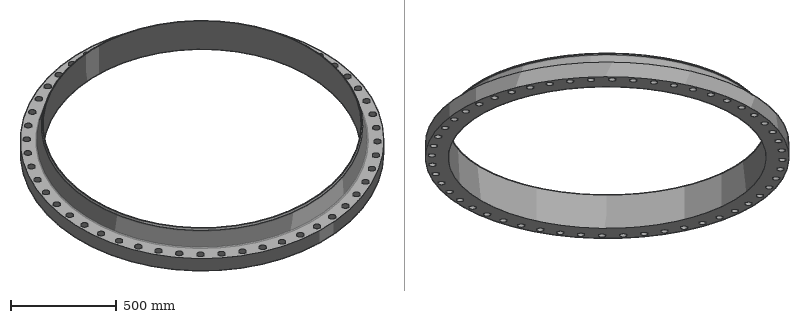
import cadquery as cq

outer_diameter = 1725.0
flange_thickness = 78.0
total_height = 178.0
bore_diameter = 1508.0

hub_base_radius = 785.0
hub_top_radius = 763.0
base_fillet_radius = 5.0

collar_height = 3.0
bevel_height = 10.0
land_width = 3.0

bolt_count = 52
bolt_circle_diameter = 1663.0
bolt_hole_diameter = 35.0

outer_radius = outer_diameter / 2
bore_radius = bore_diameter / 2
bevel_start_height = total_height - bevel_height
taper_end_height = bevel_start_height - collar_height


def make_flange_plate():
    """Flat ring that carries the bolt holes."""
    plate = cq.Workplane("XY").circle(outer_radius).circle(bore_radius)
    return plate.extrude(flange_thickness)


def make_hub():
    """Revolve the tapered hub, its straight collar and its weld bevel."""
    profile = (
        cq.Workplane("XZ")
        .moveTo(bore_radius, flange_thickness)
        .lineTo(hub_base_radius, flange_thickness)
        .lineTo(hub_top_radius, taper_end_height)
        .lineTo(hub_top_radius, bevel_start_height)
        .lineTo(bore_radius + land_width, total_height)
        .lineTo(bore_radius, total_height)
        .close()
    )
    return profile.revolve(360, (0, 0, 0), (0, 1, 0))


def round_hub_base(ring):
    """Fillet the inside corner where the hub rises from the flange."""
    second_largest = cq.selectors.RadiusNthSelector(-2)
    return ring.edges("%CIRCLE").edges(second_largest).fillet(base_fillet_radius)


def make_bolt_holes():
    """Through cutters on the bolt circle, the first one on +X."""
    return (
        cq.Workplane("XY")
        .polarArray(bolt_circle_diameter / 2, 0, 360, bolt_count)
        .circle(bolt_hole_diameter / 2)
        .extrude(flange_thickness)
    )


ring = make_flange_plate().union(make_hub())
result = round_hub_base(ring).cut(make_bolt_holes())